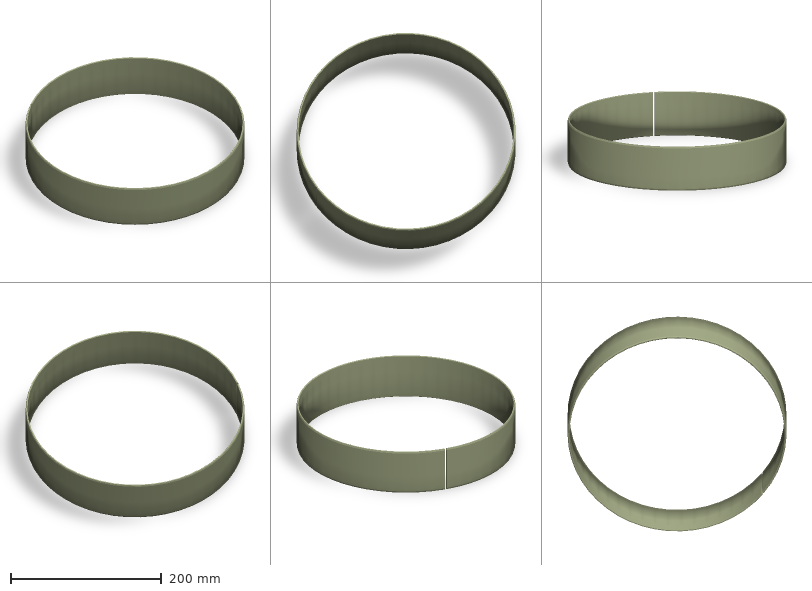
import cadquery as cq

outer_diameter = 290.0
height = 60.0
wall = 2.52
outer_bevel_depth = 0.72
outer_bevel_height = 2.0
inner_chamfer = 0.5
split_angle = 1.0

outer_radius = outer_diameter / 2
inner_radius = outer_radius - wall
rim_outer_radius = outer_radius - outer_bevel_depth
rim_inner_radius = inner_radius + inner_chamfer

section = [
    (-rim_inner_radius, 0),
    (-rim_outer_radius, 0),
    (-outer_radius, outer_bevel_height),
    (-outer_radius, height - outer_bevel_height),
    (-rim_outer_radius, height),
    (-rim_inner_radius, height),
    (-inner_radius, height - inner_chamfer),
    (-inner_radius, inner_chamfer),
]

axis_start = (0, 0, 0)
axis_end = (0, 1, 0)
result = (
    cq.Workplane("XZ")
    .polyline(section)
    .close()
    .revolve(360 - split_angle, axis_start, axis_end)
)